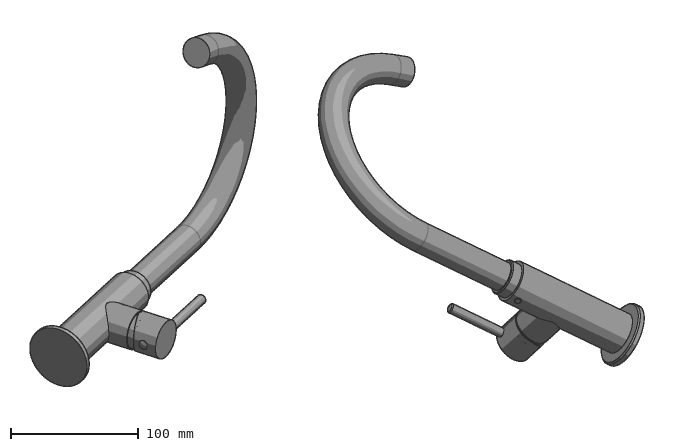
import cadquery as cq
import math

flange_diameter = 52.0
flange_thickness = 5.0
flange_chamfer = 1.2
column_diameter = 34.0
column_top = 110.2
collar_diameter = 29.0
collar_top = 119.0
collar_chamfer = 1.0

pipe_diameter = 24.0
overall_length = 294.0
bend_radius = 83.0
bend_start = overall_length - bend_radius - pipe_diameter / 2
bend_sweep = 161.0
outlet_length = 14.0

stop_diameter = 5.3
stop_projection = 1.0
stop_position = 103.5

branch_diameter = 32.0
branch_position = 65.0
branch_end = 33.2
neck_diameter = 30.0
neck_end = 39.5

cap_start = 34.5
overall_width = 85.5
cap_end = overall_width - flange_diameter / 2
relief_depth = 5.0

lever_diameter = 8.0
lever_position = 53.8
lever_tip = 130.5
lever_chamfer = 1.0
button_diameter = 8.0
dome_diameter = 15.0
dome_position = 48.2
dome_projection = 1.03


def rod_along_y(diameter, start, end, x=0.0):
    """Round rod parallel to Y at the given X, centred on Z = 0."""
    plane = cq.Plane(origin=(x, start, 0), xDir=(1, 0, 0), normal=(0, 1, 0))
    return cq.Workplane(plane).circle(diameter / 2).extrude(end - start)


def rod_along_branch(diameter, start, end):
    """Round rod on the branch axis, between two X positions."""
    plane = cq.Workplane("YZ", origin=(start, branch_position, 0))
    return plane.circle(diameter / 2).extrude(end - start)


def make_spout():
    """Pipe swept along a line, an arc and a tangent line in the YZ plane."""
    def bend_point(angle):
        turn = math.radians(angle)
        return (
            bend_start + bend_radius * math.sin(turn),
            bend_radius * (1 - math.cos(turn)),
        )

    sweep = math.radians(bend_sweep)
    bend_end = bend_point(bend_sweep)
    outlet_end = (
        bend_end[0] + outlet_length * math.cos(sweep),
        bend_end[1] + outlet_length * math.sin(sweep),
    )
    path = (
        cq.Workplane("YZ")
        .moveTo(column_top, 0)
        .lineTo(bend_start, 0)
        .threePointArc(bend_point(bend_sweep / 2), bend_end)
        .lineTo(*outlet_end)
    )
    profile_plane = cq.Plane(origin=(0, column_top, 0), xDir=(1, 0, 0), normal=(0, 1, 0))
    return cq.Workplane(profile_plane).circle(pipe_diameter / 2).sweep(path)


def make_faucet():
    """Column, flange, collar, spout, stop pin and valve branch in one solid."""
    flange = rod_along_y(flange_diameter, 0, flange_thickness).faces(">Y").chamfer(flange_chamfer)
    column = rod_along_y(column_diameter, 0, column_top)
    collar = rod_along_y(collar_diameter, column_top, collar_top).faces(">Y").chamfer(collar_chamfer)
    stop_length = column_diameter / 2 + stop_projection
    stop = (
        cq.Workplane("XY", origin=(0, stop_position, 0))
        .circle(stop_diameter / 2)
        .extrude(-stop_length)
    )
    branch = rod_along_branch(branch_diameter, 0, branch_end)
    neck = rod_along_branch(neck_diameter, 0, neck_end)
    return flange.union(column).union(collar).union(make_spout()).union(stop).union(branch).union(neck)


def make_handle():
    """Cap with its lever and domed button, recessed to seat on the branch neck."""
    cap = rod_along_branch(branch_diameter, cap_start, cap_end)
    cap_bottom = branch_position - branch_diameter / 2
    relief = (
        cq.Workplane("XY")
        .moveTo(cap_start, branch_position)
        .lineTo(cap_start, cap_bottom)
        .lineTo(cap_start + relief_depth, cap_bottom)
        .close()
        .extrude(branch_diameter / 2, both=True)
    )
    lever = rod_along_y(lever_diameter, branch_position, lever_tip, lever_position)
    lever = lever.faces(">Y").chamfer(lever_chamfer)
    button_tip = cap_bottom - dome_projection
    dome_centre = button_tip + dome_diameter / 2
    dome = cq.Workplane("XY", origin=(dome_position, dome_centre, 0)).sphere(dome_diameter / 2)
    button = rod_along_y(button_diameter, button_tip, dome_centre, dome_position).intersect(dome)
    neck_recess = rod_along_branch(neck_diameter, cap_start, neck_end)
    return cap.cut(relief).union(lever).union(button).cut(neck_recess)


faucet = make_faucet()
handle = make_handle()
result = cq.Compound.makeCompound([faucet.val(), handle.val()])